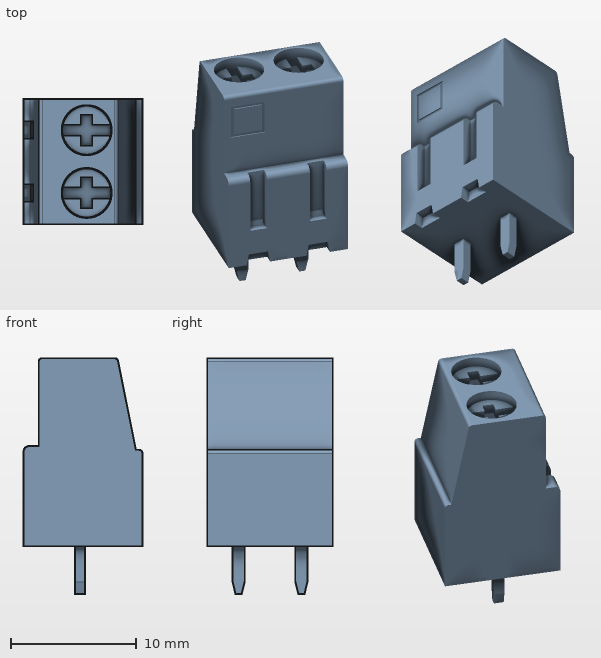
import cadquery as cq


depth = 9.5
width = 10.0
total_height = 18.8
pin_length = 3.8
height = total_height - pin_length
front_shoulder_z = 8.0
front_shoulder_depth = 1.2
front_shoulder_radius = 0.49
rear_shoulder_z = 7.7
rear_shoulder_x = 8.97
top_rear_x = 7.5
small_radius = 0.3

pole_pitch = width / 2
pole_positions = (-pole_pitch / 2, pole_pitch / 2)

screw_x = 5.04
screw_diameter = 3.9
screw_hole_diameter = 4.0
screw_head_drop = 0.8
screw_gap_depth = 1.0
drive_depth = 0.8
drive_width = 0.9
drive_cross_length = 2.46

slot_width = 1.4
slot_depth = 0.79
slot_floor_z = 3.1
wedge_width = 1.2
wedge_thickness = 0.2
wedge_height = 0.43

notch_bottom_width = 1.95
notch_top_width = 1.64
notch_height = 0.95
notch_depth = 0.8

pin_x = 4.51
pin_thickness = 0.8
pin_width = 1.0
pin_tip_width = 0.5
pin_taper_length = 1.0

frame_size = 2.8
frame_line_width = 0.25
frame_groove_depth = 0.1
frame_side_margin = 0.6
frame_top_margin = 1.0


def box(x_min, y_center, z_min, x_size, y_size, z_size):
    """Box placed by its lowest X, its middle in Y and its lowest Z."""
    return (
        cq.Workplane("XY")
        .box(x_size, y_size, z_size, centered=(False, True, False))
        .translate((x_min, y_center, z_min))
    )


def round_edge(body, x, z, radius):
    """Round the housing edge that runs along Y at the given X and Z."""
    return body.edges(cq.selectors.NearestToPointSelector((x, 0, z))).fillet(radius)


def make_housing():
    outline = [
        (0, 0),
        (depth, 0),
        (depth, rear_shoulder_z),
        (rear_shoulder_x, rear_shoulder_z),
        (top_rear_x, height),
        (front_shoulder_depth, height),
        (front_shoulder_depth, front_shoulder_z),
        (0, front_shoulder_z),
    ]
    body = cq.Workplane("XZ").polyline(outline).close().extrude(width / 2, both=True)
    body = round_edge(body, 0, front_shoulder_z, front_shoulder_radius)
    body = round_edge(body, front_shoulder_depth, height, small_radius)
    body = round_edge(body, top_rear_x, height, small_radius)
    return round_edge(body, depth, rear_shoulder_z, small_radius)


def make_screw_recess(y):
    """Space above the screw head, thin gap around it and its cross drive."""
    head_z = height - screw_head_drop
    gap_floor_z = head_z - screw_gap_depth
    drive_z = head_z - drive_depth
    hole = (
        cq.Workplane("XY", origin=(screw_x, y, gap_floor_z))
        .circle(screw_hole_diameter / 2)
        .extrude(height - gap_floor_z)
    )
    head = (
        cq.Workplane("XY", origin=(screw_x, y, gap_floor_z))
        .circle(screw_diameter / 2)
        .extrude(screw_gap_depth)
    )
    slot = box(screw_x - screw_diameter / 2, y, drive_z, screw_diameter, drive_width, drive_depth)
    cross = box(screw_x - drive_width / 2, y, drive_z, drive_width, drive_cross_length, drive_depth)
    return hole.cut(head.cut(slot).cut(cross))


def make_front_slot(y):
    slot = box(0, y, slot_floor_z, slot_depth, slot_width, front_shoulder_z - slot_floor_z)
    wedge = (
        cq.Workplane("XZ", origin=(slot_depth, y, slot_floor_z))
        .polyline([(-wedge_thickness, 0), (0, 0), (0, wedge_height)])
        .close()
        .extrude(wedge_width / 2, both=True)
    )
    return slot.cut(wedge)


def make_notch(y):
    return (
        cq.Workplane("YZ", origin=(0, y, 0))
        .polyline([
            (-notch_bottom_width / 2, 0),
            (notch_bottom_width / 2, 0),
            (notch_top_width / 2, notch_height),
            (-notch_top_width / 2, notch_height),
        ])
        .close()
        .extrude(notch_depth)
    )


def make_pin(y):
    taper_z = pin_taper_length - pin_length
    return (
        cq.Workplane("YZ", origin=(pin_x, y, 0))
        .polyline([
            (-pin_width / 2, 0),
            (-pin_width / 2, taper_z),
            (-pin_tip_width / 2, -pin_length),
            (pin_tip_width / 2, -pin_length),
            (pin_width / 2, taper_z),
            (pin_width / 2, 0),
        ])
        .close()
        .extrude(pin_thickness / 2, both=True)
    )


def make_frame_groove():
    center_y = width / 2 - frame_side_margin - frame_size / 2
    center_z = height - frame_top_margin - frame_size / 2
    panel_size = frame_size - 2 * frame_line_width
    return (
        cq.Workplane("YZ", origin=(front_shoulder_depth, center_y, center_z))
        .rect(frame_size, frame_size)
        .rect(panel_size, panel_size)
        .extrude(frame_groove_depth)
    )


result = make_housing().cut(make_frame_groove())
for pole_y in pole_positions:
    result = result.cut(make_screw_recess(pole_y))
    result = result.cut(make_front_slot(pole_y))
    result = result.cut(make_notch(pole_y))
    result = result.union(make_pin(pole_y))